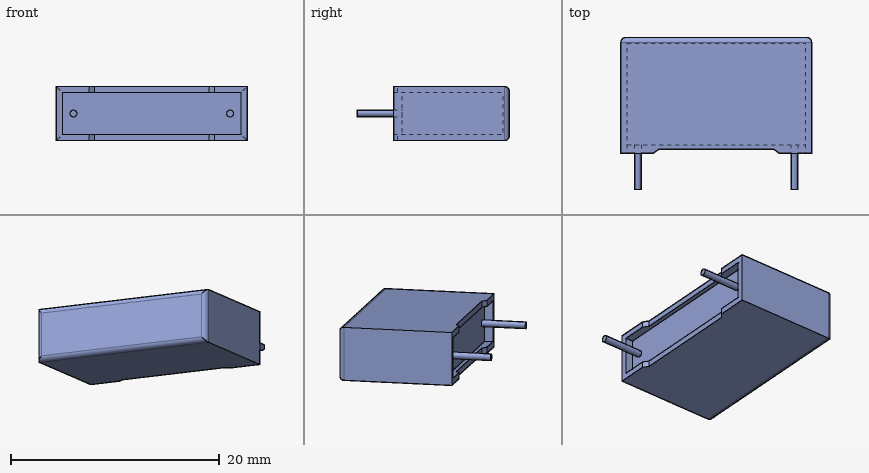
import cadquery as cq

case_width = 18.3
case_depth = 11.1
case_height = 5.2
wall = 0.6
back_edge_radius = 0.5

relief_depth = 0.38
relief_floor_width = 10.98
relief_mouth_width = 12.05

fill_recess = 0.8
fill_width = case_width - 2 * wall
fill_height = case_height - 2 * wall
fill_depth = case_depth - wall - fill_recess

pin_diameter = 0.65
pin_spacing = 15.0
pin_reach = 3.5
pin_length = pin_reach + fill_recess


def box_behind(width, height, depth, front_y):
    """Box centred on X and Z that runs toward +Y from front_y."""
    return cq.Workplane("XY").box(width, depth, height, centered=(True, False, True)).translate(
        (0, front_y, 0)
    )


def make_case():
    shell = box_behind(case_width, case_height, case_depth, 0)
    shell = shell.faces(">Y").edges().fillet(back_edge_radius)
    cavity = box_behind(fill_width, fill_height, case_depth - wall, 0)
    relief = (
        cq.Workplane("XY")
        .polyline([
            (-relief_mouth_width / 2, 0),
            (relief_mouth_width / 2, 0),
            (relief_floor_width / 2, relief_depth),
            (-relief_floor_width / 2, relief_depth),
        ])
        .close()
        .extrude(case_height / 2, both=True)
    )
    return shell.cut(cavity).cut(relief)


def make_fill():
    return box_behind(fill_width, fill_height, fill_depth, fill_recess)


def make_pin(x):
    return (
        cq.Workplane("XZ", origin=(x, fill_recess, 0))
        .circle(pin_diameter / 2)
        .extrude(pin_length)
    )


case = make_case()
fill = make_fill()
pins = [make_pin(side * pin_spacing / 2) for side in (-1, 1)]

result = cq.Compound.makeCompound([case.val(), fill.val(), *[pin.val() for pin in pins]])